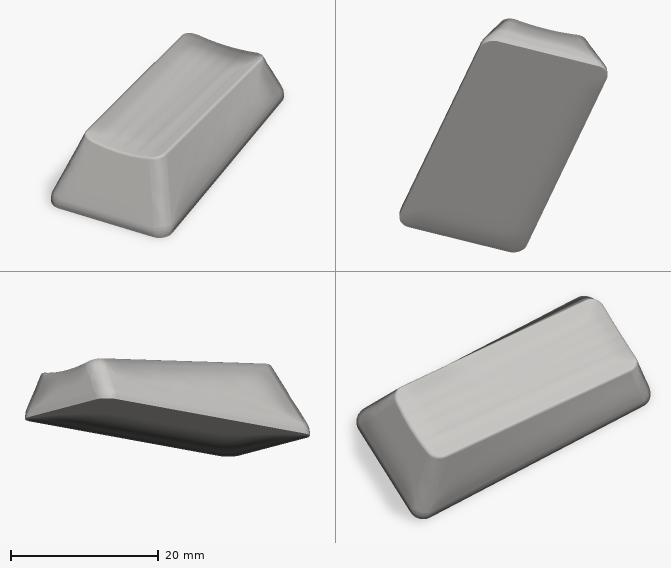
import cadquery as cq
import math

LENGTH = 37.2
WIDTH = 18.15
SKIRT_HEIGHT = 1.0

TOP_WIDTH = 12.02
TOP_FRONT_Y = -14.05
TOP_BACK_Y = 18.12
TOP_FRONT_Z = 9.95
TOP_BACK_Z = 6.1

BODY_FILLET = 1.95
RIM_FILLET = 0.37

DISH_DEPTH = 0.75
DISH_OVERRUN = 7.45

TOP_MID_Y = (TOP_FRONT_Y + TOP_BACK_Y) / 2
TOP_MID_Z = (TOP_FRONT_Z + TOP_BACK_Z) / 2
TOP_LENGTH = math.hypot(TOP_BACK_Y - TOP_FRONT_Y, TOP_BACK_Z - TOP_FRONT_Z)
DISH_RADIUS = ((TOP_WIDTH / 2) ** 2 + DISH_DEPTH ** 2) / (2 * DISH_DEPTH)

top_plane = cq.Plane(
    origin=(0, TOP_MID_Y, TOP_MID_Z),
    xDir=(1, 0, 0),
    normal=(0, TOP_FRONT_Z - TOP_BACK_Z, TOP_BACK_Y - TOP_FRONT_Y),
)


def make_skirt():
    return cq.Workplane("XY").rect(WIDTH, LENGTH).extrude(SKIRT_HEIGHT)


def make_tapered_body():
    """Ruled body from the level skirt up to the narrower, tilted top."""
    base = cq.Sketch().rect(WIDTH, LENGTH).moved(cq.Location((0, 0, SKIRT_HEIGHT)))
    top = cq.Sketch().rect(TOP_WIDTH, TOP_LENGTH).moved(top_plane.location)
    return cq.Workplane("XY").placeSketch(base, top).loft(ruled=True)


def round_body(body):
    """Round every edge except the flat bottom outline and the top outline."""
    top_face = cq.selectors.NearestToPointSelector(top_plane.origin.toTuple())
    top_edges = body.faces(top_face).edges().vals()
    bottom_edges = body.faces("<Z").edges().vals()
    kept_sharp = {edge.hashCode() for edge in top_edges + bottom_edges}
    rounded = [edge for edge in body.edges().vals() if edge.hashCode() not in kept_sharp]
    return body.newObject(rounded).fillet(BODY_FILLET)


def make_dish():
    """Cylinder that meets the sharp top face along its two long edges."""
    axis_plane = cq.Plane(
        origin=top_plane.toWorldCoords((0, 0, DISH_RADIUS - DISH_DEPTH)),
        xDir=(1, 0, 0),
        normal=top_plane.yDir,
    )
    half_length = TOP_LENGTH / 2 + DISH_OVERRUN
    return cq.Workplane(axis_plane).circle(DISH_RADIUS).extrude(half_length, both=True)


def round_rim(body):
    dish_bottom = top_plane.toWorldCoords((0, 0, -DISH_DEPTH)).toTuple()
    dish_face = cq.selectors.NearestToPointSelector(dish_bottom)
    return body.faces(dish_face).edges().fillet(RIM_FILLET)


cap = round_body(make_skirt().union(make_tapered_body()))
cap = cap.cut(make_dish())
result = round_rim(cap)